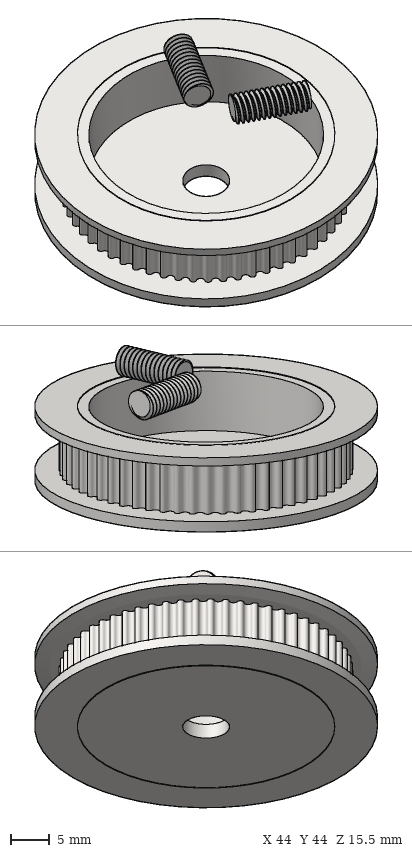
import cadquery as cq
import math

hub_height = 10.0
floor_thickness = 2.0
lower_flange_bottom = 0.1
teeth_bottom = 1.5
teeth_top = 8.5
upper_flange_edge_bottom = 9.0
rim_depth_below_flange = 0.1
upper_flange_top = hub_height + rim_depth_below_flange

flange_diameter = 44.0
flange_taper_diameter = 40.0
flange_bore_diameter = 33.01
hub_diameter = 33.0
recess_diameter = 30.1
bore_diameter = 6.0

tooth_count = 60
belt_pitch = 2.0
pitch_line_offset = 0.254
tip_radius = tooth_count * belt_pitch / (2 * math.pi) - pitch_line_offset
groove_depth = 0.75
groove_radius = 0.555

screw_length = 10.0
screw_diameter = 4.0
screw_core_diameter = 3.11
thread_pitch = 0.7
thread_crest_width = thread_pitch / 8
thread_flank_angle = 30.0
thread_overlap = 0.1
thread_lead_in = thread_pitch
thread_start_angle = 110.0
screw_height = 13.5
screw_inner_end = 3.5
first_screw_angle = 35.5
screw_angles = [first_screw_angle, first_screw_angle + 90.0]


def disc(diameter, bottom, top):
    """Plain cylinder on the pulley axis."""
    return cq.Workplane("XY").workplane(offset=bottom).circle(diameter / 2).extrude(top - bottom)


def polar_point(radius, angle):
    """X and Y of a point at a radius and an angle from +X."""
    return (radius * math.cos(angle), radius * math.sin(angle))


def toothed_ring():
    """Cylinder of round grooves and fully rounded teeth, with one groove centred on +X."""
    half_pitch = math.pi / tooth_count
    groove_centre = tip_radius - groove_depth + groove_radius

    groove_to_tip_squared = (
        groove_centre**2 + tip_radius**2 - 2 * groove_centre * tip_radius * math.cos(half_pitch)
    )
    tip_above_groove_centre = tip_radius - groove_centre * math.cos(half_pitch)
    tooth_radius = (groove_to_tip_squared - groove_radius**2) / 2
    tooth_radius /= tip_above_groove_centre + groove_radius

    tooth_x, tooth_y = polar_point(tip_radius - tooth_radius, half_pitch)
    groove_share = groove_radius / (groove_radius + tooth_radius)
    meeting_x = groove_centre + groove_share * (tooth_x - groove_centre)
    meeting_y = groove_share * tooth_y
    meeting_radius = math.hypot(meeting_x, meeting_y)
    meeting_angle = math.atan2(meeting_y, meeting_x)

    outline = cq.Workplane("XY").workplane(offset=teeth_bottom)
    outline = outline.moveTo(*polar_point(meeting_radius, -meeting_angle))
    for tooth in range(tooth_count):
        angle = 2 * half_pitch * tooth
        groove_bottom = polar_point(tip_radius - groove_depth, angle)
        groove_end = polar_point(meeting_radius, angle + meeting_angle)
        tooth_tip = polar_point(tip_radius, angle + half_pitch)
        tooth_end = polar_point(meeting_radius, angle + 2 * half_pitch - meeting_angle)
        outline = outline.threePointArc(groove_bottom, groove_end).threePointArc(tooth_tip, tooth_end)
    return outline.close().extrude(teeth_top - teeth_bottom)


def upper_flange():
    """Flange with a tapered underside, its bore just clear of the hub."""
    profile = [
        (flange_bore_diameter / 2, teeth_top),
        (flange_taper_diameter / 2, teeth_top),
        (flange_diameter / 2, upper_flange_edge_bottom),
        (flange_diameter / 2, upper_flange_top),
        (flange_bore_diameter / 2, upper_flange_top),
    ]
    return cq.Workplane("XZ").polyline(profile).close().revolve(360, (0, 0, 0), (0, 1, 0))


def make_pulley():
    """Hub, toothed ring and both flanges in one piece, hollowed from above."""
    body = disc(hub_diameter, 0, hub_height)
    body = body.union(disc(flange_diameter, lower_flange_bottom, teeth_bottom))
    body = body.union(toothed_ring())
    body = body.union(upper_flange())
    body = body.cut(disc(recess_diameter, floor_thickness, hub_height))
    return body.cut(disc(bore_diameter, 0, hub_height))


def make_screw():
    """Threaded rod along +Z, its thread cut off square at both ends."""
    core_radius = screw_core_diameter / 2
    root_radius = core_radius - thread_overlap
    crest_radius = screw_diameter / 2
    half_crest = thread_crest_width / 2
    half_root = half_crest + (crest_radius - root_radius) * math.tan(math.radians(thread_flank_angle))
    helix_length = screw_length + 2 * thread_lead_in
    helix = cq.Wire.makeHelix(thread_pitch, helix_length, core_radius)
    thread = (
        cq.Workplane("XZ")
        .polyline(
            [
                (root_radius, -half_root),
                (crest_radius, -half_crest),
                (crest_radius, half_crest),
                (root_radius, half_root),
            ]
        )
        .close()
        .sweep(cq.Workplane(helix), isFrenet=True)
        .translate((0, 0, -thread_lead_in))
    )

    core = cq.Workplane("XY").circle(core_radius).extrude(screw_length)
    envelope = cq.Workplane("XY").circle(screw_diameter).extrude(screw_length)
    screw = core.union(thread.intersect(envelope))
    return screw.rotate((0, 0, 0), (0, 0, 1), thread_start_angle)


def placed_screw(screw, angle):
    """Set screw lying level and pointing outward at the given angle from +X."""
    return (
        screw.rotate((0, 0, 0), (0, 1, 0), 90)
        .translate((screw_inner_end, 0, screw_height))
        .rotate((0, 0, 0), (0, 0, 1), angle)
    )


pulley = make_pulley()
screw = make_screw()
set_screws = [placed_screw(screw, angle) for angle in screw_angles]

result = cq.Compound.makeCompound([pulley.val(), *[placed.val() for placed in set_screws]])